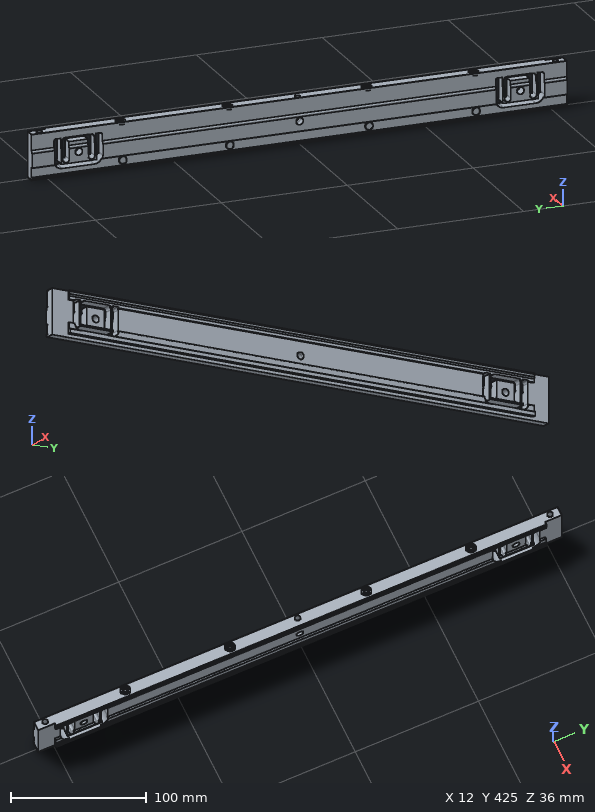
import cadquery as cq
import math

length = 425.0
height = 36.0
thickness = 12.0
top_z = height / 2
bottom_z = -top_z
left_x = -thickness / 2
right_x = thickness / 2
left_wall_x = -4.5
right_wall_x = 3.0
edge_chamfer = 0.2
hook_lip_chamfer_width = 0.5

bevel_top_z = 5.5
bevel_break_x = -5.5
bevel_break_z = 4.2
bevel_bottom_z = 3.5

groove_top_z = -8.0
groove_bottom_z = -15.7
lip_chamfer = 1.3

neck_x = 4.5
hook_lip_x = 5.5
hook_lip_bottom_z = 17.0
notch_z = 15.5
tooth_x = 5.5
tooth_z = 15.0
tooth_root_z = 13.5
hook_bottom_z = 11.0
rib_top_z = -7.0
rib_toe_top_z = -12.0
rib_bottom_z = -15.5
end_relief = 13.5

clip_y = 175.3
clip_half_height = 12.0
outer_slot_half_width = 19.0
outer_slot_corner_radius = 6.5
outer_slot_end_radius = 1.5
ring_outer_half_width = 14.0
ring_inner_half_width = 12.8
ring_bottom_z = -8.0
inner_slot_corner_radius = 2.5
inner_slot_end_radius = 2.35
inner_slot_bottom_z = -7.2
tab_half_width = 7.5
tab_top_z = 8.5

mount_hole_diameter = 5.5
mount_hole_y = [-clip_y, 0, clip_y]

blind_hole_x = -1.3
blind_hole_diameter = 4.2
blind_hole_depth = 8.5
blind_hole_spacing = 205.0
blind_hole_y = [-blind_hole_spacing, 0, blind_hole_spacing]
drill_point_angle = 118.0

inner_station_y = 55.2
outer_station_y = 140.2
station_y = [-outer_station_y, -inner_station_y, inner_station_y, outer_station_y]
screw_x = -0.5
counterbore_diameter = 7.5
counterbore_depth = 2.0
screw_diameter = 4.5
screw_length = 12.8
socket_diameter = 3.5
socket_depth = 2.5
pin_diameter = 6.0
pin_length = 5.0
pin_z = -11.5


def cylinder_down(x, y, diameter, depth):
    """Vertical cylinder going down from the top edge."""
    return cq.Workplane("XY").circle(diameter / 2).extrude(-depth).translate((x, y, top_z))


def drilled_hole(x, y, diameter, depth):
    """Vertical blind hole going down from the top edge, ending in a drill-point cone."""
    radius = diameter / 2
    point = radius / math.tan(math.radians(drill_point_angle / 2))
    outline = [(0, 0), (radius, 0), (radius, -depth), (0, -depth - point)]
    hole = cq.Workplane("XZ").polyline(outline).close().revolve(360, (0, 0, 0), (0, 1, 0))
    return hole.translate((x, y, top_z))


def through_block(half_width, z_low, z_high):
    """Block centred on Y = 0 that passes right through the rail's thickness."""
    block = cq.Workplane("XY").box(2 * thickness, 2 * half_width, z_high - z_low)
    return block.translate((0, 0, (z_low + z_high) / 2))


def rail_bar():
    """The rail's section run along its full length, with the right side cut back at both ends."""
    left_side = [
        (left_wall_x + edge_chamfer, top_z),
        (left_wall_x, top_z - edge_chamfer),
        (left_wall_x, bevel_top_z),
        (bevel_break_x, bevel_break_z),
        (left_x, bevel_bottom_z),
        (left_x, groove_top_z),
        (left_wall_x, groove_top_z),
        (left_wall_x, groove_bottom_z),
        (left_x, groove_bottom_z),
        (left_x, bottom_z + lip_chamfer),
        (left_x + lip_chamfer, bottom_z),
    ]
    lower_rib = [
        (right_wall_x, bottom_z),
        (right_wall_x, rib_bottom_z),
        (right_x, rib_bottom_z),
        (right_x, rib_toe_top_z),
        (neck_x, rib_toe_top_z),
        (neck_x, rib_top_z),
        (right_wall_x, rib_top_z),
    ]
    upper_hook = [
        (right_wall_x, hook_bottom_z),
        (neck_x, hook_bottom_z),
        (neck_x, tooth_root_z),
        (tooth_x, tooth_z),
        (neck_x, notch_z),
        (hook_lip_x, hook_lip_bottom_z),
        (hook_lip_x, top_z - edge_chamfer),
        (hook_lip_x - hook_lip_chamfer_width, top_z),
    ]
    section = cq.Workplane("XZ").polyline(left_side + lower_rib + upper_hook).close()
    bar = section.extrude(length / 2, both=True)
    relief = cq.Workplane("XY").box(thickness, end_relief, 2 * height)
    relief = relief.translate((right_wall_x + thickness / 2, 0, 0))
    for side in (-1, 1):
        bar = bar.cut(relief.translate((0, side * (length - end_relief) / 2, 0)))
    return bar


def clip_slots():
    """The outer U slot and the inner inverted U slot of one spring clip."""
    outer = through_block(outer_slot_half_width, -clip_half_height, clip_half_height)
    outer = outer.edges("|X and <Z").fillet(outer_slot_corner_radius)
    outer = outer.edges("|X and >Z").fillet(outer_slot_end_radius)
    outer = outer.cut(through_block(ring_outer_half_width, ring_bottom_z, height))
    inner = through_block(ring_inner_half_width, inner_slot_bottom_z, clip_half_height)
    inner = inner.edges("|X and >Z").fillet(inner_slot_corner_radius)
    inner = inner.cut(through_block(tab_half_width, -height, tab_top_z))
    inner = inner.edges("|X and <Z").fillet(inner_slot_end_radius)
    return outer.union(inner)


def mount_hole(y):
    hole = cq.Workplane("YZ").circle(mount_hole_diameter / 2).extrude(thickness, both=True)
    return hole.translate((0, y, 0))


def screw_blank(y):
    return cylinder_down(screw_x, y, screw_diameter, screw_length)


def make_screw(y):
    """Headless screw, flush with the top edge, with a drilled socket."""
    return screw_blank(y).cut(drilled_hole(screw_x, y, socket_diameter, socket_depth))


def make_pin(y):
    """Pin lying across the rail, standing in the groove and flush with the left side."""
    pin = cq.Workplane("YZ").circle(pin_diameter / 2).extrude(pin_length)
    return pin.translate((left_x, y, pin_z))


def make_rail():
    body = rail_bar()
    for side in (-1, 1):
        body = body.cut(clip_slots().translate((0, side * clip_y, 0)))
    for y in mount_hole_y:
        body = body.cut(mount_hole(y))
    for y in blind_hole_y:
        body = body.cut(drilled_hole(blind_hole_x, y, blind_hole_diameter, blind_hole_depth))
    for y in station_y:
        body = body.cut(cylinder_down(screw_x, y, counterbore_diameter, counterbore_depth))
        body = body.cut(screw_blank(y))
        body = body.cut(make_pin(y))
    return body


rail = make_rail()
screws = [make_screw(y).val() for y in station_y]
pins = [make_pin(y).val() for y in station_y]
result = cq.Compound.makeCompound([rail.val(), *screws, *pins])